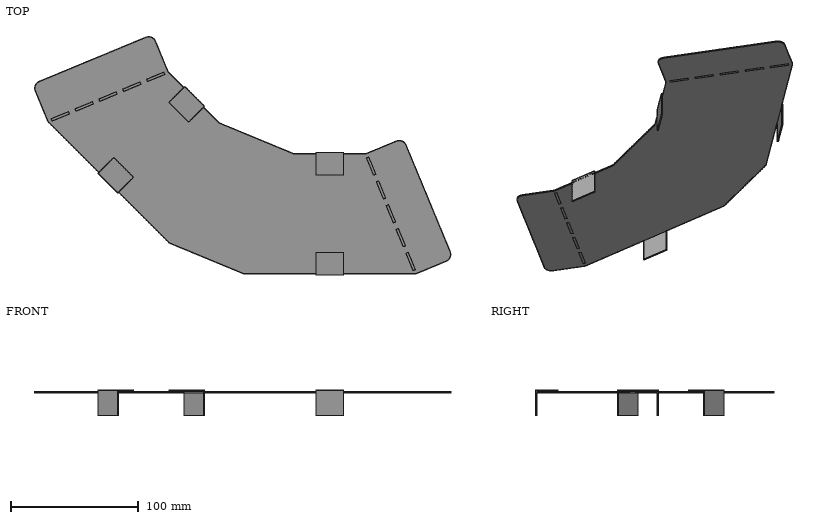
import cadquery as cq
import math

THICKNESS = 1.0
PLATE_WIDTH = 94.2
INNER_EDGE = 56.7
MIDDLE_LENGTH = 63.0
TAB_LENGTH = 31.5
TAB_RADIUS = 6.0
MITRE_ANGLE = 22.5

GROOVE_COUNT = 5
GROOVE_LENGTH = 14.7
GROOVE_WIDTH = 2.0
GROOVE_PITCH = 20.2
GROOVE_DEPTH = THICKNESS / 2

CLIP_WIDTH = 22.0
CLIP_REACH = 17.5
CLIP_HEIGHT = 20.0

mitre = math.radians(MITRE_ANGLE)
fold_length = PLATE_WIDTH / math.cos(mitre)
outer_edge = INNER_EDGE + 2 * PLATE_WIDTH * math.tan(mitre)
half_middle = MIDDLE_LENGTH / 2
half_fold = fold_length / 2
arm_centre_length = (INNER_EDGE + outer_edge) / 2

arm_u = half_middle + arm_centre_length / 2 * math.cos(mitre)
arm_v = arm_centre_length / 2 * math.sin(mitre)
fold_u = half_middle + arm_centre_length * math.cos(mitre)
fold_v = arm_centre_length * math.sin(mitre)


def turned(u, v, angle):
    """Offset (u, v) rotated by an angle in radians."""
    return (
        u * math.cos(angle) - v * math.sin(angle),
        u * math.sin(angle) + v * math.cos(angle),
    )


def mirrored_pair(body):
    return [body, body.mirror("YZ")]


def along_part(body):
    """Turn a body from the middle panel's frame so that the right arm lies along X."""
    return body.rotate((0, 0, 0), (0, 0, 1), -MITRE_ANGLE)


def make_tab():
    tab_centre = turned(TAB_LENGTH / 2, 0, 2 * mitre)
    return (
        cq.Workplane("XY")
        .box(TAB_LENGTH, fold_length, THICKNESS, centered=(True, True, False))
        .edges("|Z and >X")
        .fillet(TAB_RADIUS)
        .rotate((0, 0, 0), (0, 0, 1), 2 * MITRE_ANGLE)
        .translate((fold_u + tab_centre[0], fold_v + tab_centre[1], -THICKNESS))
    )


def make_grooves():
    return (
        cq.Workplane("XY")
        .rarray(3.3, GROOVE_PITCH, 1, GROOVE_COUNT)
        .rect(GROOVE_WIDTH, GROOVE_LENGTH)
        .extrude(-GROOVE_DEPTH)
        .rotate((0, 0, 0), (0, 0, 1), 2 * MITRE_ANGLE)
        .translate((fold_u, fold_v, 0))
    )


def make_plate():
    fold_half_u, fold_half_v = turned(0, half_fold, 2 * mitre)
    right_side = [
        (half_middle, -half_fold),
        (fold_u - fold_half_u, fold_v - fold_half_v),
        (fold_u + fold_half_u, fold_v + fold_half_v),
        (half_middle, half_fold),
    ]
    left_side = [(-u, v) for u, v in reversed(right_side)]
    plate = cq.Workplane("XY").polyline(right_side + left_side).close().extrude(-THICKNESS)
    for tab in mirrored_pair(make_tab()):
        plate = plate.union(tab)
    for grooves in mirrored_pair(make_grooves()):
        plate = plate.cut(grooves)
    return along_part(plate)


def make_clip(side):
    """Clip on the right arm, on its outer (side = -1) or inner (side = 1) edge."""
    edge = PLATE_WIDTH / 2
    top = THICKNESS
    profile = [
        (edge + THICKNESS, top),
        (edge + THICKNESS - CLIP_REACH, top),
        (edge + THICKNESS - CLIP_REACH, 0),
        (edge, 0),
        (edge, top - CLIP_HEIGHT),
        (edge + THICKNESS, top - CLIP_HEIGHT),
    ]
    return (
        cq.Workplane("YZ")
        .polyline([(side * across, z) for across, z in profile])
        .close()
        .extrude(CLIP_WIDTH / 2, both=True)
        .rotate((0, 0, 0), (0, 0, 1), MITRE_ANGLE)
        .translate((arm_u, arm_v, 0))
    )


plate = make_plate()
clips = []
for side in (-1, 1):
    for clip in mirrored_pair(make_clip(side)):
        clips.append(along_part(clip))

result = cq.Compound.makeCompound([plate.val(), *[clip.val() for clip in clips]])